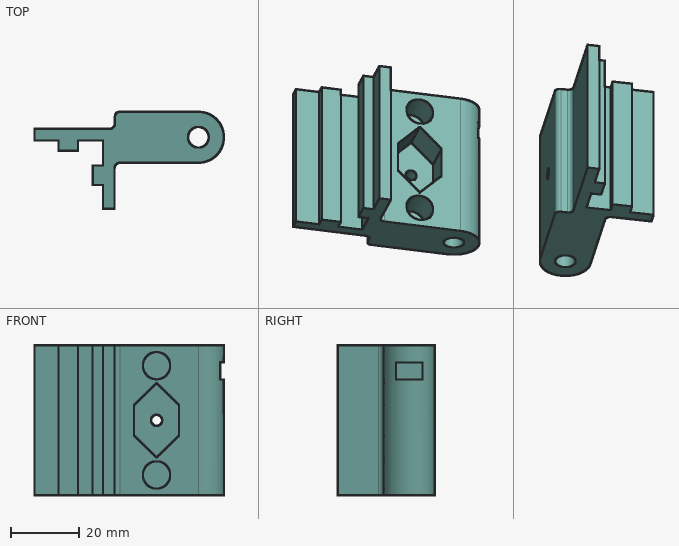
import cadquery as cq

height = 44.0

inner_leg = 20.0
leg_thickness = 3.5
outer_leg = inner_leg + leg_thickness

key_start = 7.0
key_width = 5.8
key_depth = 3.0

block_thickness = 15.0
block_step = 5.0
edge_radius = 1.5
end_radius = block_thickness / 2
overall_length = 55.5
block_back = outer_leg + block_step
block_front = block_back - block_thickness
pin_x = overall_length - end_radius
pin_y = block_front + end_radius
pin_diameter = 6.0

recess_x = (outer_leg + pin_x) / 2
recess_z = height / 2
recess_depth = 10.0
pocket_width = 13.2
pocket_height = 21.8
pocket_side_height = 8.9
screw_diameter = 3.2
blind_hole_diameter = 8.0
blind_hole_offset = 16.0

notch_depth = 1.1
notch_height = 5.0
notch_top_gap = 5.0


def box_between(x_range, y_range, z_range):
    """Axis-aligned box given by its lower and upper bounds."""
    sizes = [upper - lower for lower, upper in (x_range, y_range, z_range)]
    corner = (x_range[0], y_range[0], z_range[0])
    return cq.Workplane("XY").box(*sizes, centered=False).translate(corner)


def make_bracket():
    """Two legs meeting at a right angle, each with a key rib inside."""
    key_span = (key_start, key_start + key_width)
    key_reach = (inner_leg - key_depth, inner_leg)
    leg_span = (inner_leg, outer_leg)
    full_span = (0, outer_leg)
    z_span = (0, height)
    bracket = box_between(full_span, leg_span, z_span)
    bracket = bracket.union(box_between(leg_span, full_span, z_span))
    bracket = bracket.union(box_between(key_span, key_reach, z_span))
    return bracket.union(box_between(key_reach, key_span, z_span))


def make_block():
    """Hinge block, rounded about the pin axis at its free end."""
    return (
        cq.Workplane("XY")
        .moveTo(inner_leg, block_front)
        .lineTo(pin_x, block_front)
        .threePointArc((overall_length, pin_y), (pin_x, block_back))
        .lineTo(outer_leg, block_back)
        .lineTo(outer_leg, outer_leg)
        .lineTo(inner_leg, outer_leg)
        .close()
        .extrude(height)
    )


def round_vertical_edge(body, x, y):
    """Round the full-height edge that passes through (x, y)."""
    edge = cq.selectors.NearestToPointSelector((x, y, height / 2))
    return body.edges("|Z").edges(edge).fillet(edge_radius)


def front_face_plane():
    """Sketch plane on the block's front face; its normal points out of the part."""
    return cq.Workplane("XZ", origin=(recess_x, block_front, recess_z))


def make_pocket():
    """Elongated six-sided pocket with points at top and bottom."""
    half_width = pocket_width / 2
    half_height = pocket_height / 2
    half_side = pocket_side_height / 2
    outline = [
        (0, half_height),
        (half_width, half_side),
        (half_width, -half_side),
        (0, -half_height),
        (-half_width, -half_side),
        (-half_width, half_side),
    ]
    return front_face_plane().polyline(outline).close().extrude(-recess_depth)


def make_blind_holes():
    """Two round blind holes, above and below the pocket."""
    centres = [(0, blind_hole_offset), (0, -blind_hole_offset)]
    return front_face_plane().pushPoints(centres).circle(blind_hole_diameter / 2).extrude(-recess_depth)


def make_screw_hole():
    """Hole from the pocket through the back of the block."""
    return front_face_plane().circle(screw_diameter / 2).extrude(-block_thickness)


def make_pin_hole():
    """Full-height hinge pin hole."""
    return cq.Workplane("XY").center(pin_x, pin_y).circle(pin_diameter / 2).extrude(height)


def make_notch():
    """Flat-bottomed notch across the tip of the rounded end."""
    notch_top = height - notch_top_gap
    return box_between(
        (overall_length - notch_depth, overall_length),
        (block_front, block_back),
        (notch_top - notch_height, notch_top),
    )


body = make_bracket().union(make_block()).clean()
for edge_x, edge_y in [(outer_leg, block_back), (outer_leg, outer_leg), (outer_leg, block_front)]:
    body = round_vertical_edge(body, edge_x, edge_y)

for cutter in [make_pocket(), make_blind_holes(), make_screw_hole(), make_pin_hole(), make_notch()]:
    body = body.cut(cutter)

result = body